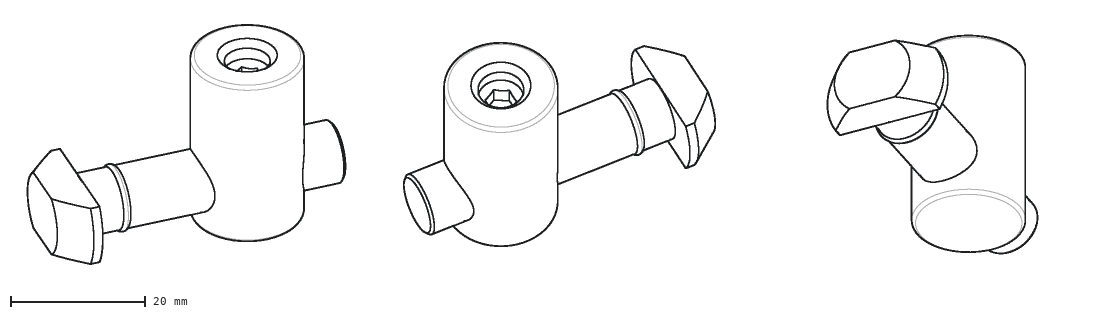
import cadquery as cq
import math

housing_diameter = 16.93
housing_height = 27.9
housing_edge_radius = 0.55

countersink_diameter = 8.9
bore_diameter = 6.8
bore_floor_depth = 2.95
drill_tip_angle = 118.0
hexagon_width_across_flats = 4.05
hexagon_floor_depth = 6.05

bolt_axis_height = 7.4
bolt_length = 46.5
bolt_tail_y = 13.95
shank_diameter = 9.63
shank_end_chamfer = 0.4

head_diameter = 19.25
head_face_diameter = 12.45
head_thickness = 5.95
head_rim_thickness = 1.45
head_width = 9.95

collar_distance_from_head = 5.7
collar_diameter = 10.28
collar_round_radius = 0.65

head_face_y = bolt_tail_y - bolt_length
head_back_y = head_face_y + head_thickness


def make_socket():
    """Cavity to remove from the housing top."""
    countersink_radius = countersink_diameter / 2
    bore_radius = bore_diameter / 2
    countersink_depth = countersink_radius - bore_radius
    tip_depth = bore_floor_depth + bore_radius / math.tan(math.radians(drill_tip_angle / 2))
    stepped_bore = (
        cq.Workplane("XZ")
        .moveTo(0, housing_height)
        .lineTo(countersink_radius, housing_height)
        .lineTo(bore_radius, housing_height - countersink_depth)
        .lineTo(bore_radius, housing_height - bore_floor_depth)
        .lineTo(0, housing_height - tip_depth)
        .close()
        .revolve(360, (0, 0, 0), (0, 1, 0))
    )
    hexagon_diameter = hexagon_width_across_flats / math.cos(math.pi / 6)
    hexagon = (
        cq.Workplane("XY")
        .workplane(offset=housing_height - hexagon_floor_depth)
        .polygon(6, hexagon_diameter)
        .extrude(hexagon_floor_depth)
    )
    return stepped_bore.union(hexagon)


def cylinder_along_y(diameter, start_y, end_y):
    """Cylinder on the bolt axis between two Y positions."""
    return (
        cq.Workplane("XZ", origin=(0, start_y, bolt_axis_height))
        .circle(diameter / 2)
        .extrude(start_y - end_y)
    )


def make_housing():
    """Round housing with a cross hole that fits the bolt shank."""
    body = (
        cq.Workplane("XY")
        .circle(housing_diameter / 2)
        .extrude(housing_height)
        .edges()
        .fillet(housing_edge_radius)
    )
    cross_hole = cylinder_along_y(shank_diameter, -housing_diameter, housing_diameter)
    return body.cut(make_socket()).cut(cross_hole)


def make_head():
    """Conical bolt head with a cylindrical rim, trimmed flat above and below."""
    rim_front_y = head_back_y - head_rim_thickness
    rim_radius = head_diameter / 2
    turned_head = (
        cq.Workplane("XY", origin=(0, 0, bolt_axis_height))
        .moveTo(0, head_face_y)
        .lineTo(head_face_diameter / 2, head_face_y)
        .lineTo(rim_radius, rim_front_y)
        .lineTo(rim_radius, head_back_y)
        .lineTo(0, head_back_y)
        .close()
        .revolve(360, (0, 0, 0), (0, 1, 0))
    )
    middle_slab = cq.Workplane("XY").box(head_diameter, head_thickness, head_width).translate(
        (0, head_face_y + head_thickness / 2, bolt_axis_height)
    )
    return turned_head.intersect(middle_slab)


def make_collar():
    """Ring of round section, partly sunk into the shank."""
    ring_radius = collar_diameter / 2 - collar_round_radius
    collar_y = head_back_y + collar_distance_from_head
    return (
        cq.Workplane("XY", origin=(0, 0, bolt_axis_height))
        .moveTo(ring_radius, collar_y)
        .circle(collar_round_radius)
        .revolve(360, (0, 0, 0), (0, 1, 0))
    )


def make_bolt():
    """T-bolt with its head, shank and collar in one piece."""
    shank = cylinder_along_y(shank_diameter, head_back_y, bolt_tail_y)
    shank = shank.faces(">Y").chamfer(shank_end_chamfer)
    return shank.union(make_head()).union(make_collar())


housing = make_housing()
bolt = make_bolt()
result = cq.Compound.makeCompound([housing.solids().val(), bolt.solids().val()])